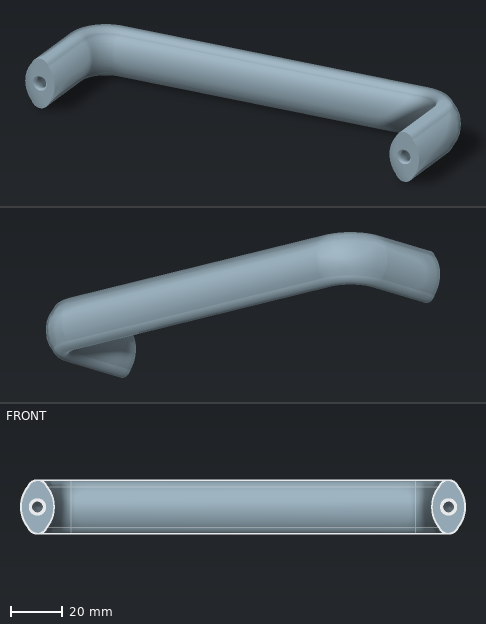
import cadquery as cq
import math

length = 173.0
depth = 50.0
height = 21.0

bar_width = 13.0
corner_half_width = 3.6
corner_half_height = 8.0

bend_radius = 13.0
leg_x = (length - bar_width) / 2
grip_y = depth - bar_width / 2

hole_diameter = 4.8
hole_mouth_diameter = 6.0
hole_depth = 12.1
drill_point_angle = 118.0


def make_bar():
    """Sweep the oval section along one leg, the grip and the other leg."""
    bend_start_y = grip_y - bend_radius
    bend_end_x = leg_x - bend_radius
    path = (
        cq.Workplane("XY")
        .moveTo(-leg_x, 0)
        .lineTo(-leg_x, bend_start_y)
        .radiusArc((-bend_end_x, grip_y), bend_radius)
        .lineTo(bend_end_x, grip_y)
        .radiusArc((leg_x, bend_start_y), bend_radius)
        .lineTo(leg_x, 0)
    )
    w, h = corner_half_width, corner_half_height
    section = (
        cq.Workplane("XZ", origin=(-leg_x, 0, 0))
        .moveTo(w, h)
        .threePointArc((0, height / 2), (-w, h))
        .threePointArc((-bar_width / 2, 0), (-w, -h))
        .threePointArc((0, -height / 2), (w, -h))
        .threePointArc((bar_width / 2, 0), (w, h))
        .close()
    )
    return section.sweep(path)


def make_hole(x):
    """Drilled hole with a 45 degree countersunk mouth and a conical bottom."""
    radius = hole_diameter / 2
    mouth_radius = hole_mouth_diameter / 2
    mouth_depth = mouth_radius - radius
    point_length = radius / math.tan(math.radians(drill_point_angle / 2))
    profile = (
        cq.Workplane("XY")
        .moveTo(x, 0)
        .lineTo(x + mouth_radius, 0)
        .lineTo(x + radius, mouth_depth)
        .lineTo(x + radius, hole_depth)
        .lineTo(x, hole_depth + point_length)
        .close()
    )
    return profile.revolve(360, (x, 0, 0), (x, 1, 0))


result = make_bar()
for hole_x in (-leg_x, leg_x):
    result = result.cut(make_hole(hole_x))